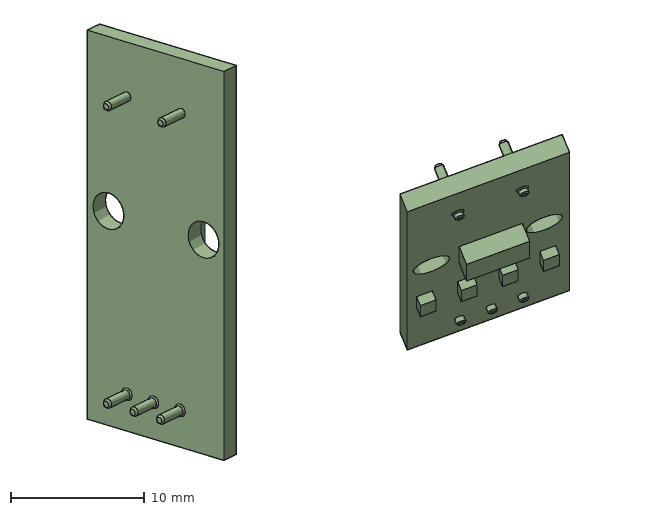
import cadquery as cq

board_width = 13.08
board_height = 31.62
board_thickness = 1.524

hole_diameter = 2.92
hole_x_positions = (-4.5, 4.59)
hole_z = 1.63

pin_diameter = 0.75
pin_front_length = 2.54
pin_back_length = 0.508
front_tip_chamfer_length = 0.2
back_tip_chamfer_length = 0.1
tip_chamfer_depth = 0.12
flare_diameter = 1.0
flare_length = 0.12

pin_pitch = 2.54
first_pin_x = -2.73
lower_pin_x_positions = [first_pin_x + i * pin_pitch for i in range(3)]
lower_pin_z = -12.8
upper_pin_spacing = 5.2
upper_pin_x_positions = [first_pin_x, first_pin_x + upper_pin_spacing]
upper_pin_z = 11.38

large_block_width = 5.08
large_block_height = 3.81
large_block_depth = 1.524
large_block_x = first_pin_x + large_block_width / 2
large_block_z = 1.6

small_block_width = 1.27
small_block_height = 2.54
small_block_depth = 0.762
small_block_pitch = 3.31
first_small_block_x = -4.78
small_block_x_positions = [first_small_block_x + i * small_block_pitch for i in range(4)]
small_block_z = -5.65


def cylinder_along_y(x, z, diameter, y_start, y_end):
    """Solid cylinder parallel to Y between two Y positions."""
    base = cq.Vector(x, y_start, z)
    solid = cq.Solid.makeCylinder(diameter / 2, y_end - y_start, base, cq.Vector(0, 1, 0))
    return cq.Workplane(obj=solid)


def make_board():
    board = cq.Workplane().box(board_width, board_thickness, board_height)
    board = board.translate((0, board_thickness / 2, 0))
    for x in hole_x_positions:
        board = board.cut(cylinder_along_y(x, hole_z, hole_diameter, 0, board_thickness))
    return board


def make_pin(x, z, flare_in_front):
    """Pin through the board, with its flare on the front or the back face."""
    tip_radius = pin_diameter / 2 - tip_chamfer_depth
    y_front = -pin_front_length
    y_back = board_thickness + pin_back_length
    half_profile = (
        cq.Workplane("XY")
        .moveTo(0, y_front)
        .lineTo(tip_radius, y_front)
        .lineTo(pin_diameter / 2, y_front + front_tip_chamfer_length)
        .lineTo(pin_diameter / 2, y_back - back_tip_chamfer_length)
        .lineTo(tip_radius, y_back)
        .lineTo(0, y_back)
        .close()
    )
    pin = half_profile.revolve(360, (0, 0, 0), (0, 1, 0)).translate((x, 0, z))
    board_face_y = 0 if flare_in_front else board_thickness
    outward = cq.Vector(0, -1 if flare_in_front else 1, 0)
    flare = cq.Solid.makeCone(
        flare_diameter / 2, pin_diameter / 2, flare_length, cq.Vector(x, board_face_y, z), outward
    )
    return pin.union(cq.Workplane(obj=flare))


def make_block(x, z, width, height, depth):
    """Rectangular component standing on the back face of the board."""
    y_middle = board_thickness + depth / 2
    return cq.Workplane().box(width, depth, height).translate((x, y_middle, z))


result = make_board()
for pin_x in lower_pin_x_positions:
    result = result.union(make_pin(pin_x, lower_pin_z, flare_in_front=True))
for pin_x in upper_pin_x_positions:
    result = result.union(make_pin(pin_x, upper_pin_z, flare_in_front=False))
result = result.union(
    make_block(large_block_x, large_block_z, large_block_width, large_block_height, large_block_depth)
)
for block_x in small_block_x_positions:
    result = result.union(
        make_block(block_x, small_block_z, small_block_width, small_block_height, small_block_depth)
    )